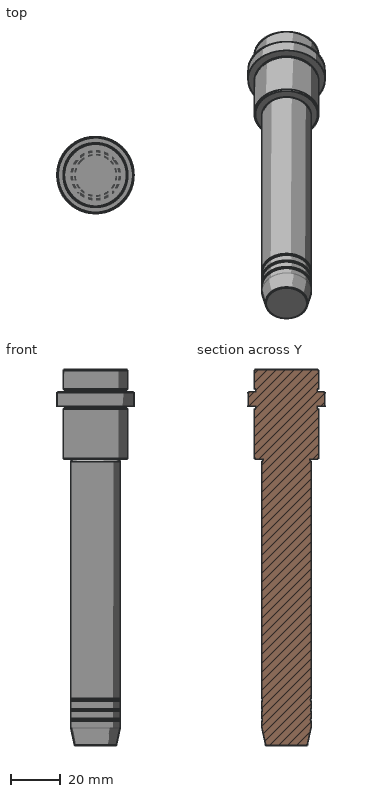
import cadquery as cq

length = 151.0
head_radius = 13.0
collar_radius = 15.48
shaft_radius = 10.0
edge_chamfer = 0.53

collar_top = length - 8.9
collar_bottom = collar_top - 5.9
head_bottom = length - 36.1

relief_depth = 0.6
relief_height = 1.2
neck_height = 0.9
relief_taper_height = 0.6

groove_heights = (18.4, 14.3, 10.4)
groove_width = 1.0
groove_depth = 0.23

lead_in_top = 7.2
tip_radius = 8.5
tip_chamfer = 0.3


def make_body():
    """Revolve the stepped profile of head, collar, shaft and lead-in."""
    head_relief = head_radius - relief_depth
    profile = (
        cq.Workplane("XZ")
        .moveTo(0, 0)
        .lineTo(tip_radius - tip_chamfer, 0)
        .lineTo(tip_radius, tip_chamfer)
        .lineTo(shaft_radius, lead_in_top)
        .lineTo(shaft_radius, head_bottom - neck_height)
        .lineTo(shaft_radius - relief_depth, head_bottom)
        .lineTo(head_radius - edge_chamfer, head_bottom)
        .lineTo(head_radius, head_bottom + edge_chamfer)
        .lineTo(head_radius, collar_bottom - relief_height)
        .lineTo(head_relief, collar_bottom - relief_height + relief_taper_height)
        .lineTo(head_relief, collar_bottom)
        .lineTo(collar_radius, collar_bottom)
        .lineTo(collar_radius, collar_top - edge_chamfer)
        .lineTo(collar_radius - edge_chamfer, collar_top)
        .lineTo(head_relief, collar_top)
        .lineTo(head_relief, collar_top + relief_height - relief_taper_height)
        .lineTo(head_radius, collar_top + relief_height)
        .lineTo(head_radius, length - edge_chamfer)
        .lineTo(head_radius - edge_chamfer, length)
        .lineTo(0, length)
        .close()
    )
    return profile.revolve(360, (0, 0, 0), (0, 1, 0))


def make_groove(height):
    """Ring of triangular section that cuts one groove centred at the given height."""
    return (
        cq.Workplane("XZ")
        .moveTo(shaft_radius, height - groove_width / 2)
        .lineTo(shaft_radius - groove_depth, height)
        .lineTo(shaft_radius, height + groove_width / 2)
        .close()
        .revolve(360, (0, 0, 0), (0, 1, 0))
    )


result = make_body()
for groove_height in groove_heights:
    result = result.cut(make_groove(groove_height))